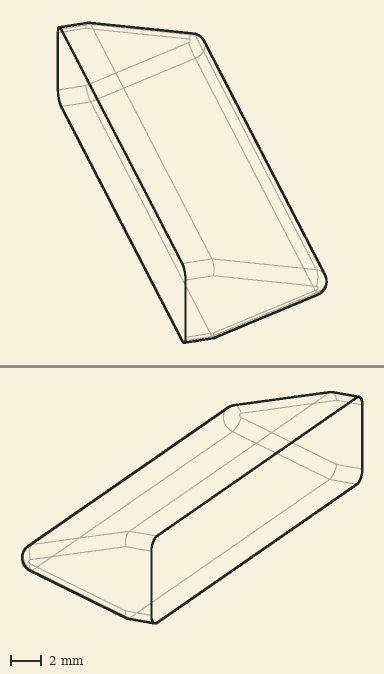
import cadquery as cq
import math

length = 30.15
depth = 9.68
height = 6.0
band_depth = 2.0
tip_radius = 0.95
end_radius = 0.78

half_height = height / 2

tip_center_y = depth - tip_radius
taper_run = tip_center_y - band_depth
taper = math.atan2(half_height, taper_run) - math.asin(tip_radius / math.hypot(taper_run, half_height))
tangent_y = tip_center_y + tip_radius * math.sin(taper)
tangent_z = tip_radius * math.cos(taper)


def wedge_body():
    """Round-tipped wedge along X with its base on the plane Y = 0."""
    profile = (
        cq.Workplane("YZ")
        .moveTo(0, -half_height)
        .lineTo(band_depth, -half_height)
        .lineTo(tangent_y, -tangent_z)
        .threePointArc((depth, 0), (tangent_y, tangent_z))
        .lineTo(band_depth, half_height)
        .lineTo(0, half_height)
        .close()
    )
    return profile.extrude(length / 2, both=True)


def round_ends(body):
    """Round both end outlines, leaving the base edges sharp."""
    return body.faces("<X or >X").edges("not <Y").fillet(end_radius)


result = round_ends(wedge_body())